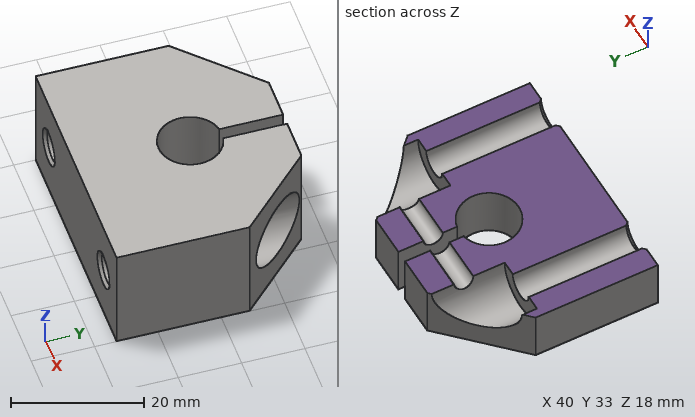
import cadquery as cq

length = 40.0
depth = 33.0
height = 18.0
corner_chamfer = 12.0

bore_diameter = 10.0
bore_y = 18.0
slot_width = 2.0

mount_spacing = 27.0
mount_diameter = 4.9
countersink_diameter = 6.0
head_pocket_diameter = 10.0
head_pocket_floor_y = 20.0

clamp_diameter = 3.25
clamp_from_rear = 6.0

mid_height = height / 2


def make_block():
    block = cq.Workplane("XY").box(length, depth, height, centered=(True, False, False))
    return block.edges("|Z and >Y").chamfer(corner_chamfer)


def make_shaft_clamp():
    bore = cq.Workplane("XY").center(0, bore_y).circle(bore_diameter / 2).extrude(height)
    slot = (
        cq.Workplane("XY")
        .box(slot_width, depth - bore_y, height, centered=(True, False, False))
        .translate((0, bore_y, 0))
    )
    return bore.union(slot)


def cylinder_along_y(x, start_y, end_y, diameter):
    axis = cq.Vector(0, 1, 0)
    start = cq.Vector(x, start_y, mid_height)
    return cq.Workplane(cq.Solid.makeCylinder(diameter / 2, end_y - start_y, start, axis))


def make_mounting_hole(x):
    hole = cylinder_along_y(x, 0, depth, mount_diameter)
    pocket = cylinder_along_y(x, head_pocket_floor_y, depth, head_pocket_diameter)
    countersink_depth = (countersink_diameter - mount_diameter) / 2
    countersink = cq.Solid.makeCone(
        countersink_diameter / 2,
        mount_diameter / 2,
        countersink_depth,
        cq.Vector(x, 0, mid_height),
        cq.Vector(0, 1, 0),
    )
    return hole.union(pocket).union(cq.Workplane(countersink))


def make_clamp_hole():
    return (
        cq.Workplane("YZ")
        .center(depth - clamp_from_rear, mid_height)
        .circle(clamp_diameter / 2)
        .extrude(length / 2, both=True)
    )


result = make_block().cut(make_shaft_clamp()).cut(make_clamp_hole())
for side in (-1, 1):
    result = result.cut(make_mounting_hole(side * mount_spacing / 2))